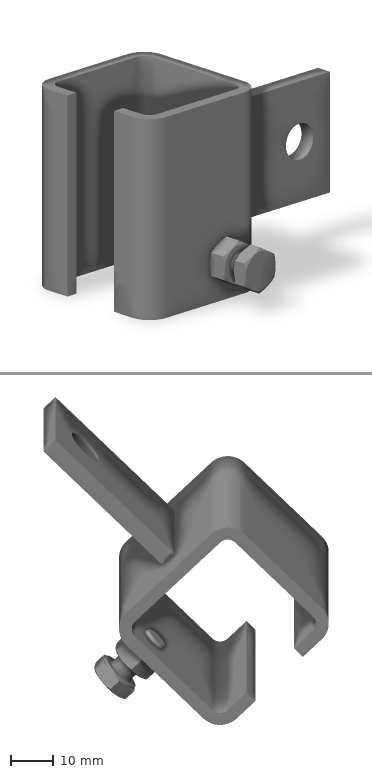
import cadquery as cq
import math

channel_width = 39.3
channel_depth = 37.0
channel_height = 50.0
wall = 3.0
outer_radius = 5.55
slot_width = 15.7

total_depth = 77
plate_thickness = 4.0
plate_height = 30
plate_hole_diameter = 9.0
plate_hole_end_distance = 10

screw_y = 25.0
screw_z = 10
shank_diameter = 6.0
hex_across_flats = 10
nut_thickness = 5.0
screw_reach = 12.0
head_thickness = 3.5
washer_face_thickness = 0.5
washer_face_diameter = 9.9
tip_projection = 0.9
tip_diameter = 5.15
tip_chamfer_length = 0.7
neck_diameter = 6.8
neck_length = 0.7
hex_chamfer_angle = 30
hex_face_diameter = 9.7

wall_x = channel_width / 2
head_outer_x = wall_x + screw_reach
head_inner_x = head_outer_x - head_thickness


def make_channel():
    centre_y = channel_depth / 2
    outside = (
        cq.Workplane("XY")
        .center(0, centre_y)
        .rect(channel_width, channel_depth)
        .extrude(channel_height)
        .edges("|Z")
        .fillet(outer_radius)
    )
    inside = (
        cq.Workplane("XY")
        .center(0, centre_y)
        .rect(channel_width - 2 * wall, channel_depth - 2 * wall)
        .extrude(channel_height)
        .edges("|Z")
        .fillet(outer_radius - wall)
    )
    slot = cq.Workplane("XY").rect(slot_width, 4 * wall).extrude(channel_height)
    return outside.cut(inside).cut(slot)


def make_plate():
    front_y = channel_depth - wall / 2
    plate = cq.Workplane("XY").box(
        plate_thickness, total_depth - front_y, plate_height, centered=(True, False, True)
    )
    plate = plate.translate((0, front_y, channel_height / 2))
    hole = (
        cq.Workplane("YZ")
        .center(total_depth - plate_hole_end_distance, channel_height / 2)
        .circle(plate_hole_diameter / 2)
        .extrude(plate_thickness, both=True)
    )
    return plate.cut(hole)


def disc(start_x, length, diameter):
    return (
        cq.Workplane("YZ", origin=(start_x, screw_y, screw_z))
        .circle(diameter / 2)
        .extrude(length)
    )


def turned(profile):
    """Revolve an (x, radius) profile about the screw axis."""
    return profile.close().revolve(360, (0, 0), (1, 0)).translate((0, screw_y, screw_z))


def make_hexagon(start_x, length, chamfer_start):
    """Hexagon with corners up and down, chamfered outside and optionally at its start."""
    corner_radius = hex_across_flats / math.sqrt(3)
    face_radius = hex_face_diameter / 2
    chamfer = (corner_radius - face_radius) * math.tan(math.radians(hex_chamfer_angle))
    end_x = start_x + length
    hexagon = (
        cq.Workplane("YZ", origin=(start_x, screw_y, screw_z))
        .transformed(rotate=(0, 0, 90))
        .polygon(6, 2 * corner_radius)
        .extrude(length)
    )
    envelope = cq.Workplane("XY").moveTo(start_x, 0)
    if chamfer_start:
        envelope = envelope.lineTo(start_x, face_radius).lineTo(start_x + chamfer, corner_radius)
    else:
        envelope = envelope.lineTo(start_x, corner_radius)
    envelope = (
        envelope.lineTo(end_x - chamfer, corner_radius)
        .lineTo(end_x, face_radius)
        .lineTo(end_x, 0)
    )
    return hexagon.intersect(turned(envelope))


def make_screw():
    shank_radius = shank_diameter / 2
    tip_x = wall_x - wall - tip_projection
    neck_end_x = head_inner_x - washer_face_thickness
    shank = turned(
        cq.Workplane("XY")
        .moveTo(tip_x, 0)
        .lineTo(tip_x, tip_diameter / 2)
        .lineTo(tip_x + tip_chamfer_length, shank_radius)
        .lineTo(neck_end_x - neck_length, shank_radius)
        .tangentArcPoint((neck_end_x, neck_diameter / 2), relative=False)
        .lineTo(head_inner_x, neck_diameter / 2)
        .lineTo(head_inner_x, 0)
    )
    washer_face = disc(neck_end_x, washer_face_thickness, washer_face_diameter)
    head = make_hexagon(head_inner_x, head_thickness, chamfer_start=False)
    return shank.union(washer_face).union(head)


nut = make_hexagon(wall_x, nut_thickness, chamfer_start=True)
result = make_channel().union(make_plate()).union(nut).union(make_screw())